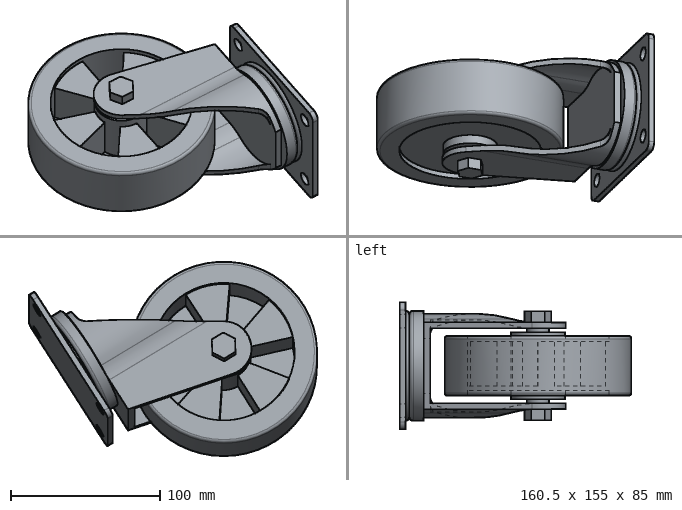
import cadquery as cq
import math


plate_length = 100.0
plate_width = 85.0
plate_thickness = 4.0
plate_corner_radius = 5.0
plate_top = 92.5
plate_bottom = plate_top - plate_thickness
bolt_hole_diameter = 9.0
bolt_spacing_x = 80.0
bolt_spacing_z = 60.0

swivel_x = 48.0
bearing_diameter = 73.6
bearing_edge_radius = 2.5
upper_disc_height = bearing_edge_radius
lower_disc_height = 9.5
crown_top = plate_bottom - upper_disc_height - lower_disc_height

sheet_thickness = 4.0
crown_thickness = 4.5
crown_bottom = crown_top - crown_thickness
leg_outer_z = 29.0
leg_end_radius = 18.6
leg_bend_start_x = 22.0
fork_bulge_radius = 34.9
fork_rear_x = swivel_x - plate_length / 2
crown_front_reach = 29.7
fork_front_x = swivel_x + crown_front_reach
throat_x = 66.1
throat_fillet_radius = 9.0

wheel_diameter = 125.0
wheel_width = 40.0
wheel_edge_radius = 2.0
rim_bore_diameter = 94.88
hub_diameter = 36.25
hub_width = 45.0
rib_recess = 3.5
rib_top = wheel_width / 2 - rib_recess
pocket_count = 5
pocket_angle = 35.0
first_pocket_angle = 18.0
web_thickness = 3.0

spacer_diameter = 15.02
bolt_head_corners = 18.0
bolt_head_height = 7.5


def cylinder(diameter, length):
    """Cylinder along the axle, centred on the wheel."""
    return cq.Workplane("XY").circle(diameter / 2).extrude(length / 2, both=True)


def mounting_plate():
    plate = cq.Workplane("XY").box(plate_length, plate_thickness, plate_width)
    plate = plate.edges("|Y").fillet(plate_corner_radius)
    hole_places = plate.faces(">Y").workplane().rarray(bolt_spacing_x, bolt_spacing_z, 2, 2)
    plate = hole_places.hole(bolt_hole_diameter)
    return plate.translate((swivel_x, plate_top - plate_thickness / 2, 0))


def swivel_bearing():
    """Two discs whose facing edges are rounded, leaving a groove between them."""
    disc_radius = bearing_diameter / 2
    groove_y = plate_bottom - upper_disc_height
    corner_radius = disc_radius - bearing_edge_radius
    diagonal = bearing_edge_radius * math.cos(math.pi / 4)
    profile = (
        cq.Workplane("XY", origin=(swivel_x, 0, 0))
        .moveTo(0, plate_bottom)
        .lineTo(disc_radius, plate_bottom)
        .threePointArc(
            (corner_radius + diagonal, plate_bottom - diagonal),
            (corner_radius, groove_y),
        )
        .threePointArc(
            (corner_radius + diagonal, groove_y - bearing_edge_radius + diagonal),
            (disc_radius, groove_y - bearing_edge_radius),
        )
        .lineTo(disc_radius, crown_top)
        .lineTo(0, crown_top)
        .close()
    )
    return profile.revolve(360, (0, 0, 0), (0, 1, 0))


def bulge_solid(inset, top):
    """Block under the given height, shaped like the fork seen along the swivel axis.

    Each side is flat, then bends outward into an arc around the swivel axis.
    The inset moves the whole outline inward.
    """
    bend_run = swivel_x - leg_bend_start_x
    bulge_rise = fork_bulge_radius - leg_outer_z
    bend_radius = (bend_run**2 + leg_outer_z**2 - fork_bulge_radius**2) / (2 * bulge_rise)
    bend_angle = math.atan2(bend_run, leg_outer_z + bend_radius)

    flat_z = leg_outer_z - inset
    bend = bend_radius + inset
    bulge = fork_bulge_radius - inset
    bend_z = flat_z + bend

    def on_bend(angle):
        return (leg_bend_start_x + bend * math.sin(angle), bend_z - bend * math.cos(angle))

    front_z = math.sqrt(bulge**2 - crown_front_reach**2)
    far_rear_x = -wheel_diameter / 2
    half = (
        cq.Workplane("XZ", origin=(0, top, 0))
        .moveTo(far_rear_x, 0)
        .lineTo(far_rear_x, flat_z)
        .lineTo(leg_bend_start_x, flat_z)
        .threePointArc(on_bend(bend_angle / 2), on_bend(bend_angle))
        .threePointArc((swivel_x, bulge), (fork_front_x, front_z))
        .lineTo(fork_front_x, 0)
        .close()
        .extrude(top + wheel_diameter / 2)
    )
    return half.union(half.mirror("XY"))


def tangent_point(x, y, side):
    """Point where the line from (x, y) touches the round leg end; side is +1 or -1."""
    angle = math.atan2(y, x) + side * math.acos(leg_end_radius / math.hypot(x, y))
    return (leg_end_radius * math.cos(angle), leg_end_radius * math.sin(angle))


def fork_side_solid():
    """Fork seen along the axle: tapered legs with a round end, under the crown."""
    rear_touch = tangent_point(fork_rear_x, crown_top, 1)
    front_touch = tangent_point(throat_x, crown_bottom, -1)
    side = (
        cq.Workplane("XY")
        .moveTo(fork_rear_x, crown_top)
        .lineTo(*rear_touch)
        .threePointArc((0, -leg_end_radius), front_touch)
        .lineTo(throat_x, crown_bottom)
        .lineTo(fork_front_x, crown_bottom)
        .lineTo(fork_front_x, crown_top)
        .close()
        .extrude(plate_width / 2, both=True)
    )
    throat_edge = cq.selectors.NearestToPointSelector((throat_x, crown_bottom, 0))
    return side.edges("|Z").edges(throat_edge).fillet(throat_fillet_radius)


def fork():
    shell = bulge_solid(0, crown_top).cut(bulge_solid(sheet_thickness, crown_bottom))
    return shell.intersect(fork_side_solid())


def pocket_sector():
    """Wedge between two ribs, open on the +Z side and centred on the X axis."""
    reach = rim_bore_diameter / 2
    half_angle = math.radians(pocket_angle / 2)
    corner_x = reach * math.cos(half_angle)
    corner_y = reach * math.sin(half_angle)
    return (
        cq.Workplane("XY", origin=(0, 0, web_thickness - rib_top))
        .lineTo(corner_x, -corner_y)
        .threePointArc((reach, 0), (corner_x, corner_y))
        .close()
        .extrude(wheel_width)
    )


def wheel():
    tyre = cylinder(wheel_diameter, wheel_width).edges().fillet(wheel_edge_radius)
    tyre = tyre.cut(cylinder(rim_bore_diameter, wheel_width))
    centre = cylinder(rim_bore_diameter, 2 * rib_top)
    pocket = pocket_sector()
    for index in range(pocket_count):
        angle = first_pocket_angle + index * 360.0 / pocket_count
        centre = centre.cut(pocket.rotate((0, 0, 0), (0, 0, 1), angle))
    return tyre.union(centre).union(cylinder(hub_diameter, hub_width))


def axle():
    """Spacer and hexagon heads outside the fork legs."""
    head_span = 2 * (leg_outer_z + bolt_head_height)
    heads = cq.Workplane("XY").polygon(6, bolt_head_corners).extrude(head_span / 2, both=True)
    heads = heads.rotate((0, 0, 0), (0, 0, 1), 90)
    heads = heads.cut(cylinder(hub_diameter, 2 * leg_outer_z))
    return heads.union(cylinder(spacer_diameter, 2 * leg_outer_z))


result = mounting_plate().union(swivel_bearing()).union(fork()).union(wheel()).union(axle())